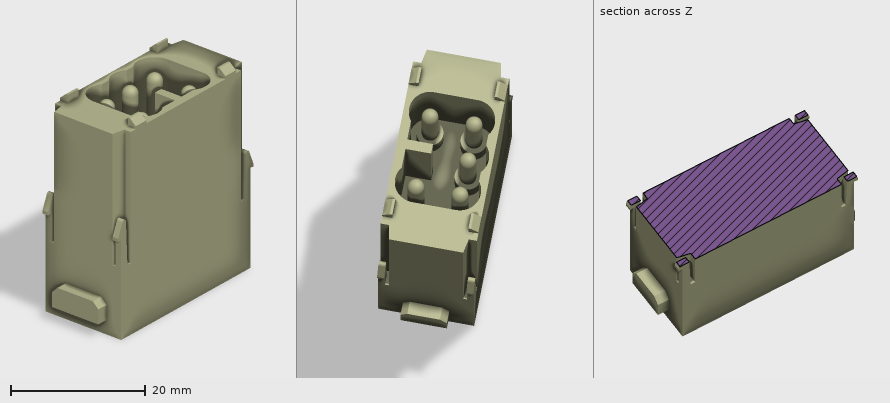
import cadquery as cq

width = 14.6
length = 30.32
length_over_lugs = 34.2
overall_height = 35.55
tab_height = 1.5
height = overall_height - tab_height

pin_diameter = 2.5
pin_tip_drop = 1.0
pin_x = 3.35
middle_pin_x = -3.52
middle_pin_y = 0.1
pin_y = 5.6
collar_diameter = 4.0
collar_drop = 9.92
cavity_depth = 12.8
cavity_floor = height - cavity_depth
lobe_radius = 3.15
cavity_wall_x = 5.85
key_width = 1.53
key_end_x = 1.95

notch_depth_y = 2.2
notch_outer_x = 1.67
notch_inner_x = 1.25
notch_height = 22.0
notch_floor = height - notch_height

latch_width = 1.05
latch_root_gap = 0.75
latch_tip_gap = 1.1
latch_tip_width = 0.7
latch_tip_z = 19.9
latch_tip_radius = 0.43
hook_reach = 0.7
hook_bottom_z = 16.7
hook_undercut = 0.15
hook_lip = 0.57

tab_length = 2.5
tab_width = 1.53
tab_flat = 0.4
tab_side_height = 0.5
tab_y = 10.52

lug_bottom_z = 2.45
lug_height = 3.55
lug_reach = (length_over_lugs - length) / 2
lug_chamfer = 1.03
front_lug_width = 8.92
back_lug_width = 7.05

corner_pins = [(side * pin_x, end * pin_y) for side in (-1, 1) for end in (-1, 1)]
pin_places = corner_pins + [(middle_pin_x, middle_pin_y)]


def at_four_corners(shape):
    """Union of a shape drawn at the -X, -Y corner and its mirror images."""
    pair = shape.union(shape.mirror("YZ"))
    return pair.union(pair.mirror("XZ"))


def make_cavity():
    """Blind pocket with a round lobe around every pin and a key rib left standing."""
    floor = cq.Workplane("XY").workplane(offset=cavity_floor)
    cavity = floor.rect(2 * cavity_wall_x, 2 * pin_y).extrude(cavity_depth)
    cavity = cavity.union(floor.rect(2 * pin_x, 2 * (pin_y + lobe_radius)).extrude(cavity_depth))
    cavity = cavity.union(floor.pushPoints(pin_places).circle(lobe_radius).extrude(cavity_depth))
    key_length = cavity_wall_x - key_end_x
    key = floor.center(key_end_x + key_length / 2, 0).rect(key_length, key_width).extrude(cavity_depth)
    return cavity.cut(key)


def make_pins():
    """Round-ended pins, each rising from a collar on the cavity floor."""
    floor = cq.Workplane("XY").workplane(offset=cavity_floor)
    pin_length = cavity_depth - pin_tip_drop - pin_diameter / 2
    collars = floor.pushPoints(pin_places).circle(collar_diameter / 2).extrude(cavity_depth - collar_drop)
    shafts = floor.pushPoints(pin_places).circle(pin_diameter / 2).extrude(pin_length)
    domes = floor.workplane(offset=pin_length).pushPoints(pin_places).sphere(pin_diameter / 2)
    return collars.union(shafts).union(domes)


def make_notch():
    """Corner notch, slightly wider at the end face than at its inner wall."""
    side_x = -width / 2
    end_y = -length / 2
    outline = [
        (side_x, end_y),
        (side_x + notch_outer_x, end_y),
        (side_x + notch_inner_x, end_y + notch_depth_y),
        (side_x, end_y + notch_depth_y),
    ]
    return cq.Workplane("XY").workplane(offset=notch_floor).polyline(outline).close().extrude(notch_height)


def make_latch():
    """Springy arm with a hooked, rounded tip, flush with the side face."""
    end_y = -length / 2
    wall_y = end_y + notch_depth_y
    tip_inner_y = wall_y - latch_tip_gap
    outline = [
        (end_y, notch_floor),
        (wall_y - latch_root_gap, notch_floor),
        (tip_inner_y, latch_tip_z),
        (tip_inner_y - latch_tip_width, latch_tip_z),
        (end_y - hook_reach, hook_bottom_z + hook_lip),
        (end_y - hook_reach, hook_bottom_z),
        (end_y, hook_bottom_z + hook_undercut),
    ]
    arm = cq.Workplane("YZ").workplane(offset=-width / 2).polyline(outline).close().extrude(latch_width)
    return arm.faces(">Z").edges("|X").fillet(latch_tip_radius)


def make_tab():
    """Tab whose top slopes down towards the side face."""
    side_x = -width / 2
    outline = [
        (side_x, height),
        (side_x + tab_width, height),
        (side_x + tab_width, overall_height),
        (side_x + tab_width - tab_flat, overall_height),
        (side_x, height + tab_side_height),
    ]
    plane = cq.Workplane("XZ").workplane(offset=tab_y - tab_length / 2)
    return plane.polyline(outline).close().extrude(tab_length)


def make_lug(lug_width):
    """Lug on the -Y end face with both upper corners chamfered."""
    lug = (
        cq.Workplane("XZ")
        .workplane(offset=length / 2)
        .center(0, lug_bottom_z + lug_height / 2)
        .rect(lug_width, lug_height)
        .extrude(lug_reach)
    )
    return lug.edges("|Y and >Z").chamfer(lug_chamfer)


result = cq.Workplane("XY").box(width, length, height, centered=(True, True, False))
result = result.cut(make_cavity()).union(make_pins())
result = result.cut(at_four_corners(make_notch())).union(at_four_corners(make_latch()))
result = result.union(at_four_corners(make_tab()))
result = result.union(make_lug(front_lug_width))
result = result.union(make_lug(back_lug_width).mirror("XZ"))